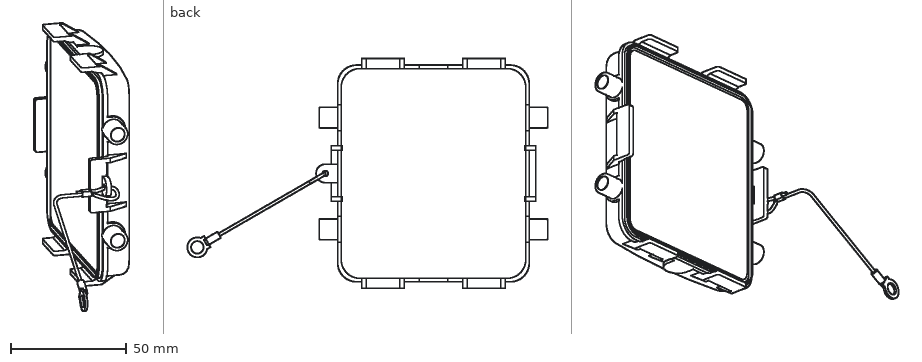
import cadquery as cq
import math


body_half_x = 39.9
body_half_z = 45.4
body_corner = 8.1
dome_height = 18.1
dome_edge_height = 14.7
dome_fillet = 4.0
dome_thickness = 3.3
pocket_corner = 3.7
pocket_fillet = 1.2
pocket_inset = 2.5
pocket_draft = 1.9

flange_overhang = 1.5
flange_front = 2.0
flange_back = 4.0
flange_half_x = body_half_x + flange_overhang
flange_half_z = body_half_z + flange_overhang
lip_overhang = 0.2
lip_corner = 6.9
flange_corner = lip_corner + flange_overhang - lip_overhang
lip_start = 0.6
seat_depth = 1.1
seat_mouth_inset = 1.0
seat_inset = 1.4
seat_corner = 5.3

pin_radius = 4.5
pin_y = 6.4
pin_z = 24.2
pin_end = 49.5
pin_edge = 0.5
pin_recess_radius = 3.1
pin_recess_depth = 0.3
pin_root_depth = 1.5
pad_radius = 5.6

arch_radius = 6.1
arch_top = 13.7
arch_y = arch_top - arch_radius

hook_rise = 2.8
hook_front = -4.7
hook_back = 2.8
hook_corner = 1.1
hook_throat = 1.9
rib_width = 2.0
rib_start = 4.4
long_hook_width = 24.2
long_hook_thickness = 2.3
long_rib_end = 13.0
short_hook_width = 18.5
short_hook_thickness = 2.0
short_rib_end = 11.2
short_hook_x = 21.8
hook_root_depth = 1.5

tab_radius = 4.0
tab_x = 46.8
tab_front = 1.0
tab_back = 3.1
tab_hole_radius = 1.17

lanyard_slope_degrees = 30
cable_radius = 0.7
hole_strand = 0.6
tail_strand = 1.9
main_strand = 3.1
tail_end = -11.8
crimp_front = -9.7
crimp_back = -5.6
crimp_radius = 1.1
run_y = -22.8
bend_radius = 4.4
loop_top = (3.7, 6.0)
tail_bow = (1.7, -2.5)
loop_return = [(7.2, 2.5), (5.3, -2.2), (3.7, -4.2)]

barrel_start = 53.0
barrel_length = 6.0
barrel_radius = 1.5
ring_centre = 64.0
ring_radius = 4.4
ring_hole_radius = 2.7
ring_front = -24.6
ring_thickness = 1.1
neck_length = 1.0
neck_radius = 1.4
shoulder_width = 5.6


def slab(half_x, half_z, corner, y_start, y_end):
    """Rounded rectangle across X and Z, standing from y_start to y_end."""
    length = y_end - y_start
    block = cq.Workplane("XY").box(2 * half_x, length, 2 * half_z)
    return block.edges("|Y").fillet(corner).translate((0, y_start + length / 2, 0))


def under_dome(drop):
    """Solid below the dome curve, lowered by drop, wide enough to trim the shell."""
    sag = dome_height - dome_edge_height
    radius = (body_half_x**2 + sag**2) / (2 * sag) - drop
    reach = flange_half_x
    top = dome_height - drop
    edge = top - radius + math.sqrt(radius**2 - reach**2)
    return (
        cq.Workplane("XY")
        .moveTo(-reach, 0)
        .lineTo(-reach, edge)
        .threePointArc((0, top), (reach, edge))
        .lineTo(reach, 0)
        .close()
        .extrude(flange_half_z, both=True)
    )


def round_dome_edge(block, radius):
    dome_edges = [e for e in block.edges().vals() if e.BoundingBox().ymin > dome_height / 2]
    return block.newObject(dome_edges).fillet(radius)


def tapered_recess(inset, corner, depth, draft):
    """Rounded rectangle sunk from the rim, its walls leaning inward by the draft angle."""
    half_x = body_half_x - inset
    half_z = body_half_z - inset
    outline = cq.Sketch().rect(2 * half_x, 2 * half_z).vertices().fillet(corner)
    return cq.Workplane("XZ").placeSketch(outline).extrude(-depth, taper=draft)


def pocket():
    recess = tapered_recess(pocket_inset, pocket_corner, dome_height, pocket_draft)
    return round_dome_edge(recess.intersect(under_dome(dome_thickness)), pocket_fillet)


def seal_seat():
    draft = math.degrees(math.atan((seat_inset - seat_mouth_inset) / seat_depth))
    return tapered_recess(seat_mouth_inset, seat_corner, seat_depth, draft)


def shell():
    body = slab(body_half_x, body_half_z, body_corner, 0, dome_height)
    body = round_dome_edge(body.intersect(under_dome(0)), dome_fillet)
    lip = slab(
        body_half_x + lip_overhang, body_half_z + lip_overhang, lip_corner, lip_start, flange_back
    )
    flange = slab(flange_half_x, flange_half_z, flange_corner, flange_front, flange_back)
    return body.union(lip).union(flange)


def round_ended_pad(radius, centre_y, half_length):
    """Bar along X whose section runs from the flange front to a round end at the back."""
    return (
        cq.Workplane("YZ")
        .moveTo(flange_front, -radius)
        .lineTo(centre_y, -radius)
        .threePointArc((centre_y + radius, 0), (centre_y, radius))
        .lineTo(flange_front, radius)
        .close()
        .extrude(half_length, both=True)
    )


def pads():
    """Round-ended pads behind the pins on both X sides, and one in the middle of each Z side."""
    pin_pad = round_ended_pad(pad_radius, pin_y, flange_half_x)
    arch_pad = round_ended_pad(arch_radius, arch_y, flange_half_z).rotate((0, 0, 0), (0, 1, 0), 90)
    return arch_pad.union(pin_pad.translate((0, 0, pin_z))).union(pin_pad.translate((0, 0, -pin_z)))


def pin(side, z):
    root = body_half_x - pin_root_depth
    body = cq.Workplane("YZ", origin=(root, 0, 0)).circle(pin_radius).extrude(pin_end - root)
    body = body.faces(">X").edges().fillet(pin_edge)
    body = body.faces(">X").workplane().circle(pin_recess_radius).cutBlind(-pin_recess_depth)
    if side < 0:
        body = body.mirror("YZ")
    return body.translate((0, pin_y, z))


def hook(flange_half, width, thickness, rib_end):
    """Latch hook on the +Z side: a plate standing off the flange, backed by a rib at each end."""
    outer = flange_half + hook_rise
    inner = outer - thickness
    wall_face = flange_half - flange_overhang
    root = wall_face - hook_root_depth
    plate = (
        cq.Workplane("YZ")
        .polyline([
            (hook_front, outer),
            (hook_back, outer),
            (hook_back, root),
            (flange_front, root),
            (flange_front, flange_half),
            (flange_front - hook_throat, inner),
            (hook_front, inner),
        ])
        .close()
        .extrude(width / 2, both=True)
    )
    plate = plate.faces("<Y").edges("|Z").fillet(hook_corner)
    rib = (
        cq.Workplane("YZ")
        .polyline([
            (flange_front, outer),
            (rib_start, outer),
            (rib_end, wall_face),
            (rib_end, root),
            (flange_front, root),
        ])
        .close()
        .extrude(rib_width)
    )
    rib_x = width / 2 - rib_width
    return plate.union(rib.translate((rib_x, 0, 0))).union(rib.translate((-width / 2, 0, 0)))


def hooks():
    short = hook(flange_half_z, short_hook_width, short_hook_thickness, short_rib_end)
    long = hook(flange_half_x, long_hook_width, long_hook_thickness, long_rib_end)
    parts = [long.rotate((0, 0, 0), (0, 1, 0), angle) for angle in (90, -90)]
    for x in (-short_hook_x, short_hook_x):
        for angle in (0, 180):
            parts.append(short.translate((x, 0, 0)).rotate((0, 0, 0), (0, 1, 0), angle))
    return parts


def short_hook_gaps():
    """Clearance behind each short hook plate, where the flange is cut back to the wall."""
    gap_length = flange_back - hook_back
    gap = cq.Workplane("XY").box(short_hook_width, gap_length, flange_overhang)
    y = hook_back + gap_length / 2
    z = body_half_z + flange_overhang / 2
    places = [(x, y, side * z) for x in (-short_hook_x, short_hook_x) for side in (-1, 1)]
    return [gap.translate(place) for place in places]


def tab():
    thickness = tab_back - tab_front
    start = flange_half_x - flange_overhang
    arm = cq.Workplane("XY").box(tab_x - start, thickness, 2 * tab_radius)
    arm = arm.translate(((tab_x + start) / 2, thickness / 2, 0))
    eye = cq.Workplane("XZ").center(tab_x, 0).circle(tab_radius).extrude(-thickness)
    hole = cq.Workplane("XZ").center(tab_x, 0).circle(tab_hole_radius).extrude(-thickness)
    return arm.union(eye).cut(hole).translate((0, tab_front, 0))


def sweep_cable(path, start, direction):
    plane = cq.Plane(origin=(start[0], start[1], 0), normal=direction)
    return cq.Workplane(plane).circle(cable_radius).sweep(path)


def lanyard():
    """Cable, crimp and ring terminal, built along +X from the tab hole and then swung into place."""
    tail = (
        cq.Workplane("XY")
        .moveTo(tail_strand, tail_end)
        .lineTo(tail_strand, crimp_back)
        .spline(
            [tail_bow, (hole_strand, tab_front), (hole_strand, tab_back), loop_top],
            tangents=[(0, 1), (1, 0)],
            includeCurrent=True,
        )
    )
    bend_mid = bend_radius * (1 - math.sqrt(0.5))
    main = (
        cq.Workplane("XY")
        .moveTo(*loop_top)
        .spline(
            loop_return + [(main_strand, crimp_back)],
            tangents=[(1, 0), (0, -1)],
            includeCurrent=True,
        )
        .lineTo(main_strand, run_y + bend_radius)
        .threePointArc(
            (main_strand + bend_mid, run_y + bend_mid),
            (main_strand + bend_radius, run_y),
        )
        .lineTo(barrel_start + barrel_length / 2, run_y)
    )
    cable = sweep_cable(tail, (tail_strand, tail_end), (0, 1, 0))
    cable = cable.union(sweep_cable(main, loop_top, (1, 0, 0)))

    for strand in (tail_strand, main_strand):
        sleeve = cq.Workplane("XZ", origin=(strand, crimp_back, 0)).circle(crimp_radius)
        cable = cable.union(sleeve.extrude(crimp_back - crimp_front))

    barrel_end = barrel_start + barrel_length
    barrel = cq.Workplane("YZ", origin=(barrel_start, run_y, 0)).circle(barrel_radius).extrude(barrel_length)
    neck = cq.Workplane("YZ", origin=(barrel_end, run_y, 0)).circle(neck_radius).extrude(neck_length)
    shoulder_length = ring_centre - barrel_end
    shoulder = cq.Workplane("XY").box(shoulder_length, ring_thickness, shoulder_width)
    shoulder = shoulder.translate(
        (ring_centre - shoulder_length / 2, ring_front + ring_thickness / 2, 0)
    )
    ring_origin = (ring_centre, ring_front, 0)
    ring = cq.Workplane("XZ", origin=ring_origin).circle(ring_radius).extrude(-ring_thickness)
    hole = cq.Workplane("XZ", origin=ring_origin).circle(ring_hole_radius).extrude(-ring_thickness)
    ring = ring.union(shoulder).cut(hole)

    whole = cable.union(barrel).union(neck).union(ring)
    return whole.rotate((0, 0, 0), (0, 1, 0), lanyard_slope_degrees).translate((tab_x, 0, 0))


result = shell().union(pads())
for gap in short_hook_gaps():
    result = result.cut(gap)
for part in hooks():
    result = result.union(part)
for side in (-1, 1):
    for z in (-pin_z, pin_z):
        result = result.union(pin(side, z))
result = result.cut(pocket()).cut(seal_seat())
result = result.union(tab()).union(lanyard())